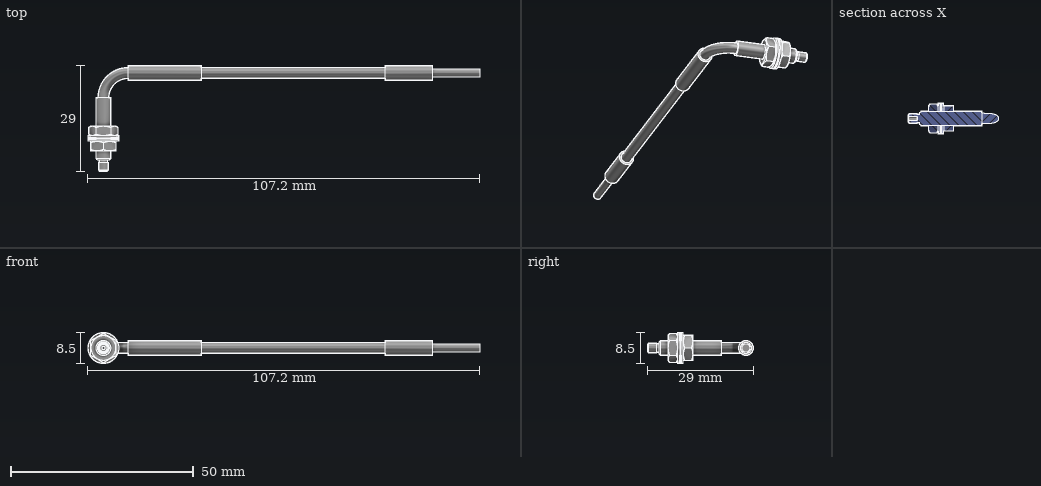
import cadquery as cq


overall_length = 107.2
cable_diameter = 3.0
bend_radius = 6.8
wire_diameter = 2.3
wire_length = 13.0

sleeve_diameter = 4.1
bend_sleeve_length = 20.1
end_sleeve_length = 13.0

barrel_diameter = 4.1
barrel_length = 17.0
barrel_chamfer = 0.4
neck_diameter = 2.4
neck_length = 0.6
tip_diameter = 2.7
tip_length = 2.5
tip_chamfer = 0.3
tip_hole_diameter = 0.9

nut_across_flats = 7.0
nut_thickness = 2.7
nut_chamfer_drop = 0.4
nut_end_diameter = 6.8
rear_nut_turn = 0
front_nut_turn = 30
washer_diameter = 8.5
washer_thickness = 0.59
washer_gap = 0.3
nut_setback = 7.7

bend_end_x = bend_radius
cable_end_x = overall_length - washer_diameter / 2
end_sleeve_end_x = cable_end_x - wire_length
end_sleeve_start_x = end_sleeve_end_x - end_sleeve_length

barrel_start_y = -bend_radius
rear_nut_y = barrel_start_y - nut_setback
rear_washer_y = rear_nut_y - nut_thickness
front_washer_y = rear_washer_y - washer_thickness - washer_gap
front_nut_y = front_washer_y - washer_thickness
barrel_end_y = barrel_start_y - barrel_length
tip_start_y = barrel_end_y - neck_length


def plane_along_barrel(y):
    """Plane across the barrel axis that extrudes toward -Y."""
    return cq.Workplane("XZ", origin=(0, y, 0))


def plane_along_cable(x):
    """Plane across the straight cable that extrudes toward +X."""
    return cq.Workplane("YZ", origin=(x, 0, 0))


def make_cable():
    """Bent cable with a thinner wire at its far end."""
    bend_mid = bend_radius * (1 - 0.5 ** 0.5)
    path = (
        cq.Workplane("XY")
        .moveTo(0, barrel_start_y)
        .threePointArc((bend_mid, -bend_mid), (bend_end_x, 0))
    )
    bend = plane_along_barrel(barrel_start_y).circle(cable_diameter / 2).sweep(path)
    straight = plane_along_cable(bend_end_x).circle(cable_diameter / 2).extrude(end_sleeve_end_x - bend_end_x)
    wire = plane_along_cable(end_sleeve_end_x).circle(wire_diameter / 2).extrude(wire_length)
    return bend.union(straight).union(wire)


def make_sleeve(start_x, length):
    """Tube that fits closely around the cable."""
    return plane_along_cable(start_x).circle(sleeve_diameter / 2).circle(cable_diameter / 2).extrude(length)


def make_barrel():
    """Round barrel with a neck and a drilled, chamfered tip."""
    body = (
        plane_along_barrel(barrel_start_y)
        .circle(barrel_diameter / 2)
        .extrude(barrel_length)
        .faces("<Y")
        .chamfer(barrel_chamfer)
    )
    neck = plane_along_barrel(barrel_end_y).circle(neck_diameter / 2).extrude(neck_length)
    tip = (
        plane_along_barrel(tip_start_y)
        .circle(tip_diameter / 2)
        .extrude(tip_length)
        .faces("<Y")
        .chamfer(tip_chamfer)
    )
    hole = plane_along_barrel(tip_start_y).circle(tip_hole_diameter / 2).extrude(tip_length)
    return body.union(neck).union(tip).cut(hole)


def make_nut(start_y, turn):
    """Hexagon nut with its corners turned down at both ends; turn 0 puts corners on X."""
    corner_diameter = nut_across_flats / (3 ** 0.5 / 2)
    hexagon = (
        plane_along_barrel(start_y)
        .polygon(6, corner_diameter)
        .extrude(nut_thickness)
        .rotate((0, 0, 0), (0, 1, 0), turn)
    )
    end_radius = nut_end_diameter / 2
    corner_radius = corner_diameter / 2
    end_y = start_y - nut_thickness
    turned_blank = (
        cq.Workplane("XY")
        .polyline([
            (0, start_y),
            (end_radius, start_y),
            (corner_radius, start_y - nut_chamfer_drop),
            (corner_radius, end_y + nut_chamfer_drop),
            (end_radius, end_y),
            (0, end_y),
        ])
        .close()
        .revolve(360, (0, 0, 0), (0, 1, 0))
    )
    bore = plane_along_barrel(start_y).circle(barrel_diameter / 2).extrude(nut_thickness)
    return hexagon.intersect(turned_blank).cut(bore)


def make_washer(start_y):
    """Flat ring around the barrel."""
    return (
        plane_along_barrel(start_y)
        .circle(washer_diameter / 2)
        .circle(barrel_diameter / 2)
        .extrude(washer_thickness)
    )


cable = make_cable()
sleeves = [
    make_sleeve(start_x, length).val()
    for start_x, length in [
        (bend_end_x, bend_sleeve_length),
        (end_sleeve_start_x, end_sleeve_length),
    ]
]
barrel = make_barrel()
nuts = [make_nut(y, turn).val() for y, turn in [(rear_nut_y, rear_nut_turn), (front_nut_y, front_nut_turn)]]
washers = [make_washer(y).val() for y in [rear_washer_y, front_washer_y]]

result = cq.Compound.makeCompound([cable.val(), *sleeves, barrel.val(), *nuts, *washers])